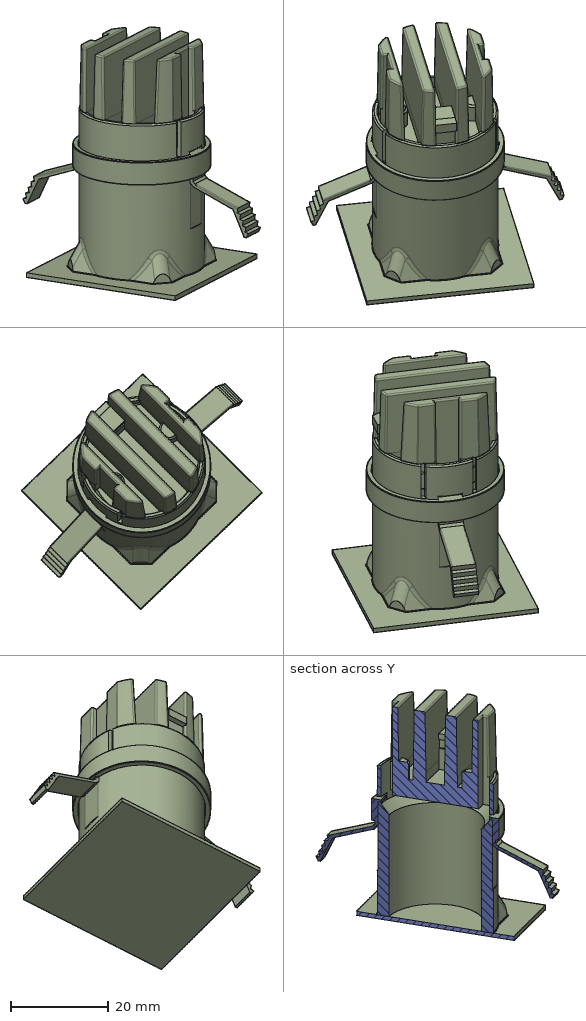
import cadquery as cq
import math

plate_side = 35.0
plate_thickness = 1.0

body_radius = 12.95
body_top = 34.65
body_rim_chamfer = 0.35
bore_radius = 12.0
lower_bore_radius = 10.2
funnel_top = 26.0
funnel_bottom = 23.8

foot_half_width = 12.3
foot_taper = 22.0
foot_height = 8.5
foot_edge_radius = 2.5
foot_corner_reach = 15.3
foot_blend_radius = 1.5
skirt_height = 0.15
skirt_overhang = 0.15

finger_slot_width = 0.9
finger_slot_offset = 5.45

ring_outer_radius = 14.25
ring_inner_radius = 13.2
ring_bottom = 21.95
ring_top = 26.9
ring_chamfer = 0.15

clip_width = 5.2
clip_leg_inner = 12.75
clip_leg_outer = 13.45
clip_tab_thickness = 0.5
clip_edge_radius = 0.2
clip_tip_bottom = 10.85
clip_seat_bottom = clip_tip_bottom
clip_window_gap = 0.6
clip_bend_outer_z = 21.2
clip_bend_inner_z = 20.8
clip_arm_root = (13.95, 20.7)
clip_arm_root_inner = (13.6, 20.0)
clip_arm_outer_end = (24.05, 16.95)
clip_knee_inner = (22.85, 16.5)
tooth_count = 5
tooth_valley = (-0.8, 0.25)
clip_span = 53.08
last_tooth_z = 11.79
tooth_drop = (clip_arm_outer_end[1] - last_tooth_z) / (tooth_count - 1)
tooth_advance = (clip_span / 2 - clip_arm_outer_end[0]) / (tooth_count - 1)
clip_tip_outer_x = clip_span / 2 - 0.5
clip_tip_inner_x = clip_span / 2 - 1.0

disc_bottom = 28.3
disc_top = 32.5
disc_chamfer = 0.4
disc_half_width = 11.0
fin_top = 48.25
fin_base_radius = 12.8
fin_top_radius = 12.5
outer_fin_base = (8.05, 11.0)
inner_fin_base = (2.0, 4.95)
fin_draft = 0.23
fin_edge_radius = 0.4
fin_top_edge_radius = 0.35
notch_half_width = 2.55
notch_inner_x = 9.6
boss_radius = 2.1
boss_offset = 7.95
boss_top = 36.3
boss_chamfer = 0.4
block_top = 40.5
block_front = 7.1
block_top_back = 11.4
block_back = 11.7
lip_reach = 12.8
lip_top = 40.0
lip_bottom = 38.0
block_recess_bottom = 37.2
block_recess_top = 39.2
block_recess_depth = 0.4

position_tolerance = 0.01
cut_reach = 20.0


def box(x_range, y_range, z_range):
    sizes = [high - low for low, high in (x_range, y_range, z_range)]
    return cq.Workplane("XY").box(*sizes, centered=False).translate((x_range[0], y_range[0], z_range[0]))


def cylinder(radius, bottom, top):
    return cq.Workplane("XY").workplane(offset=bottom).circle(radius).extrude(top - bottom)


def mirrored_pair(solid):
    return [solid, solid.mirror("YZ")]


def make_plate():
    return box((-plate_side / 2, plate_side / 2), (-plate_side / 2, plate_side / 2), (0, plate_thickness))


def make_corner_cutter(reach):
    """Diamond prism that trims the corners of the square foot."""
    return (
        cq.Workplane("XY").workplane(offset=plate_thickness)
        .rect(2 * reach, 2 * reach).extrude(foot_height)
        .rotate((0, 0, 0), (0, 0, 1), 45)
    )


def make_foot():
    foot = (
        cq.Workplane("XY").workplane(offset=plate_thickness)
        .rect(2 * foot_half_width, 2 * foot_half_width)
        .extrude(foot_height, taper=foot_taper)
        .edges("not #Z").fillet(foot_edge_radius)
    )
    return foot.intersect(make_corner_cutter(foot_corner_reach))


def make_skirt():
    """Thin lip around the foot of the housing, resting on the plate."""
    skirt_top = plate_thickness + skirt_height
    half_width = foot_half_width + skirt_overhang
    flats = box((-half_width, half_width), (-half_width, half_width), (plate_thickness, skirt_top))
    corners = make_corner_cutter(foot_corner_reach + skirt_overhang)
    return flats.intersect(corners).union(cylinder(body_radius + skirt_overhang, plate_thickness, skirt_top))


def make_bore():
    """Stepped bore joined by a shallow funnel, closed below by the plate."""
    return (
        cq.Workplane("XZ")
        .moveTo(0, plate_thickness)
        .lineTo(lower_bore_radius, plate_thickness)
        .lineTo(lower_bore_radius, funnel_bottom)
        .lineTo(bore_radius, funnel_top)
        .lineTo(bore_radius, body_top)
        .lineTo(0, body_top)
        .close().revolve()
    )


def make_clip_seat():
    """Flat for the clip leg, with a window through the wall for its hooked tab."""
    half = clip_width / 2
    window_top = ring_top + clip_window_gap
    flat = box((clip_leg_inner, cut_reach), (-half, half), (clip_seat_bottom, window_top))
    window = box((lower_bore_radius, cut_reach), (-half, half), (ring_top - clip_tab_thickness, window_top))
    return flat.union(window)


def is_foot_seam(edge):
    """True for the edges where the foot runs into the round wall."""
    middle = edge.positionAt(0.5)
    on_wall = abs(math.hypot(middle.x, middle.y) - body_radius) < position_tolerance
    return on_wall and plate_thickness < middle.z < plate_thickness + foot_height


def make_housing():
    wall = cylinder(body_radius, plate_thickness, body_top)
    housing = wall.faces(">Z").edges().chamfer(body_rim_chamfer)
    housing = housing.union(make_foot())
    housing = housing.edges().filter(is_foot_seam).fillet(foot_blend_radius)
    housing = housing.union(make_skirt()).cut(make_bore())
    for offset in (-finger_slot_offset, finger_slot_offset):
        y_range = (offset - finger_slot_width / 2, offset + finger_slot_width / 2)
        housing = housing.cut(box((-cut_reach, cut_reach), y_range, (ring_top, body_top)))
    for seat in mirrored_pair(make_clip_seat()):
        housing = housing.cut(seat)
    return housing


def is_arm_edge(edge):
    """True for the two long edges along the top of the clip arm."""
    middle = edge.positionAt(0.5)
    arm_middle_x = (clip_arm_root[0] + clip_arm_outer_end[0]) / 2
    arm_middle_z = (clip_arm_root[1] + clip_arm_outer_end[1]) / 2
    on_side = abs(middle.y) > clip_width / 2 - position_tolerance
    return on_side and math.hypot(middle.x - arm_middle_x, middle.z - arm_middle_z) < position_tolerance


def make_clip():
    """Clip from its hooked tab, down the leg and along the arm to the toothed tip, and back."""
    tab_bottom = ring_top - clip_tab_thickness
    outline = [
        (bore_radius, ring_top),
        (clip_leg_outer, ring_top),
        (clip_leg_outer, clip_bend_outer_z),
        clip_arm_root,
    ]
    peak = clip_arm_outer_end
    outline.append(peak)
    for _ in range(tooth_count - 1):
        peak = (peak[0] + tooth_advance, peak[1] - tooth_drop)
        outline.append((peak[0] + tooth_valley[0], peak[1] + tooth_valley[1]))
        outline.append(peak)
    outline += [
        (clip_tip_outer_x, clip_tip_bottom),
        (clip_tip_inner_x, clip_tip_bottom),
        clip_knee_inner,
        clip_arm_root_inner,
        (clip_leg_inner, clip_bend_inner_z),
        (clip_leg_inner, tab_bottom),
        (bore_radius, tab_bottom),
    ]
    clip = cq.Workplane("XZ").polyline(outline).close().extrude(clip_width / 2, both=True)
    return clip.edges().filter(is_arm_edge).fillet(clip_edge_radius)


def make_clip_ring():
    ring = cylinder(ring_outer_radius, ring_bottom, ring_top)
    ring = ring.edges("%CIRCLE").chamfer(ring_chamfer)
    ring = ring.cut(cylinder(ring_inner_radius, ring_bottom, ring_top))
    for clip in mirrored_pair(make_clip()):
        ring = ring.union(clip)
    return ring


def make_disc():
    disc = cylinder(bore_radius, disc_bottom, disc_top)
    disc = disc.edges("%CIRCLE").chamfer(disc_chamfer)
    keep = box((-disc_half_width, disc_half_width), (-cut_reach, cut_reach), (disc_bottom, disc_top))
    return disc.intersect(keep)


def make_notch():
    """Clearance over the clip, open towards the outside."""
    return box((notch_inner_x, cut_reach), (-notch_half_width, notch_half_width), (disc_bottom, fin_top))


def is_fin_corner(edge):
    """True for the upright outside corners of a fin, leaving the notch's inner corners sharp."""
    middle = edge.positionAt(0.5)
    upright = edge.BoundingBox().zlen > (fin_top - body_top) / 2
    at_notch_depth = abs(middle.x - notch_inner_x) < position_tolerance
    within_notch_width = abs(middle.y) < notch_half_width + position_tolerance
    return upright and not (at_notch_depth and within_notch_width)


def make_fin(base_range):
    """Upright fin, thinner towards its rounded top, standing on a root inside the bore."""
    low, high = base_range
    height = fin_top - body_top
    fin = (
        cq.Workplane("XY").workplane(offset=body_top)
        .center((low + high) / 2, 0)
        .rect(high - low, 2 * cut_reach)
        .workplane(offset=height)
        .rect(high - low - 2 * fin_draft, 2 * cut_reach)
        .loft(ruled=True)
    )
    envelope = (
        cq.Workplane("XY").workplane(offset=body_top).circle(fin_base_radius)
        .workplane(offset=height).circle(fin_top_radius)
        .loft(ruled=True)
    )
    fin = fin.intersect(envelope).cut(make_notch())
    fin = fin.edges().filter(is_fin_corner).fillet(fin_edge_radius)
    fin = fin.faces(">Z").edges().fillet(fin_top_edge_radius)
    root = box(base_range, (-cut_reach, cut_reach), (disc_top, body_top))
    return fin.union(root.intersect(cylinder(bore_radius, disc_top, body_top)))


def make_boss():
    boss = cylinder(boss_radius, disc_top, boss_top)
    return boss.faces(">Z").edges().chamfer(boss_chamfer).translate((boss_offset, 0, 0))


def make_block():
    """Block bridging the two inner fins: hooked lip at the back, shallow recess across the front."""
    half_width = inner_fin_base[0] + fin_draft
    recess_y = block_front + block_recess_depth
    outline = [
        (block_front, disc_top),
        (block_front, block_recess_bottom),
        (recess_y, block_recess_bottom),
        (recess_y, block_recess_top),
        (block_front, block_recess_top),
        (block_front, block_top),
        (block_top_back, block_top),
        (lip_reach, lip_top),
        (lip_reach, lip_bottom),
        (block_back, lip_bottom),
        (block_back, disc_top),
    ]
    return cq.Workplane("YZ").polyline(outline).close().extrude(half_width, both=True)


def make_heat_sink():
    sink = make_disc().union(make_block())
    for part in (make_fin(inner_fin_base), make_fin(outer_fin_base), make_boss()):
        for copy in mirrored_pair(part):
            sink = sink.union(copy)
    for notch in mirrored_pair(make_notch()):
        sink = sink.cut(notch)
    return sink


plate = make_plate()
housing = make_housing()
clip_ring = make_clip_ring()
heat_sink = make_heat_sink()

result = cq.Compound.makeCompound([plate.val(), housing.val(), clip_ring.val(), heat_sink.val()])